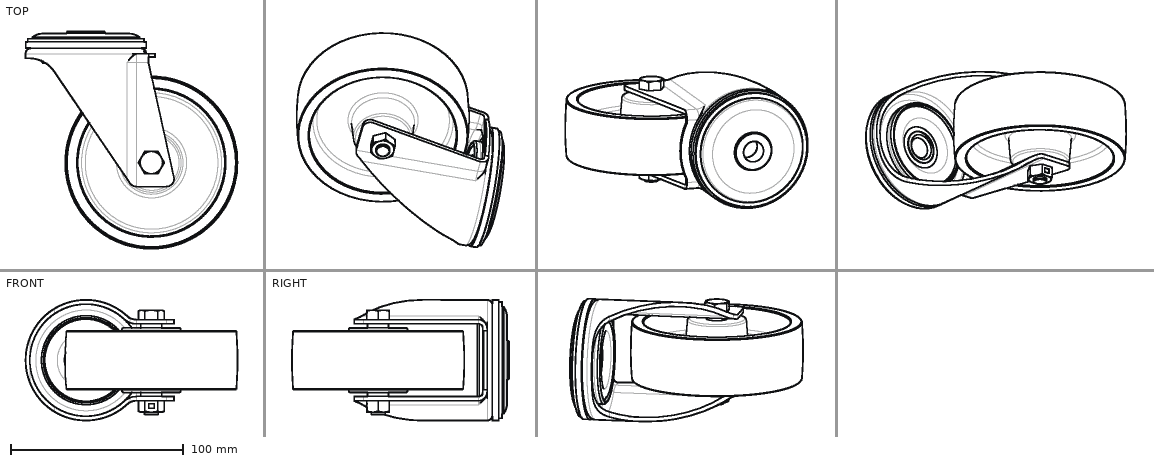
import cadquery as cq
import math


wheel_radius = 50.0
axle_offset = 37.9
overall_height = 126.0
top_height = overall_height - wheel_radius

fork_radius = 35.0
sheet = 2.5
ear_inner = 21.0
ear_outer = ear_inner + sheet
neck_radius = 8.1
ear_bend = 5.0
ear_bottom = -13.9
ear_bottom_front = 26.8
ear_bottom_back = 52.2
ear_top_back = 36.3
skirt_bottom = 60.3
skirt_corner = -23.5
skirt_corner_radius = 17.1
ear_corner_radius = 4.4
crown_plate_top = 63.1
crown_top = 66.3
crown_bend = crown_top - crown_plate_top
tail_radius = 40.1
tail_thickness = 2.0

race_wall_outer = 25.8
race_wall_inner = 24.2
race_wall_bottom = 57.5
race_wall_chamfer = 1.1
ledge_height = 62.2
channel_join_radius = 29.2
channel_slope = 55.0
race_gap = 0.4
race_arc = 5.0
race_arc_radius = 20.0
race_cone_radius = 16.8
race_face_radius = 12.5
race_face_height = 62.6
ring_top = 69.9
seal_radius = 33.8
seal_top = 71.8
cap_step_radius = 31.1
cap_step_top = 72.7
cap_top_radius = 27.7
cap_top = 74.8
cap_fillet = 10.1
sleeve_radius = 9.6
sleeve_bore = 6.0
sleeve_bottom = 62.1
sleeve_chamfer = 1.5
flange_radius = 11.3
flange_top_radius = 10.7
flange_edge = 75.1

tread_half_width = 17.0
tread_crown = 0.6
tread_chamfer = 0.5
rim_edge_radius = 43.2
rim_edge_chamfer = 0.6
rim_root_radius = 40.3
web_half_thickness = 2.5
web_fillet = 2.1
hub_half_width = 18.8
hub_top_radius = 17.0
hub_root_radius = 18.4
hub_edge_fillet = 1.1
spacer_radius = 6.2

bolt_radius = 4.0
bolt_end = -31.6
bolt_end_chamfer = 0.4
hex_flats = 13.0
head_height = 5.4
nut_height = 6.5
hex_chamfer_angle = 30.0
nut_mark_width = 3.3
nut_mark_height = 2.5
nut_mark_depth = 0.4
nut_mark_middle = -26.6


def turned(points):
    """Solid of revolution about the swivel axis from (radius, height) corner points."""
    return cq.Workplane("XY").polyline(points).close().revolve(360, (0, 0), (0, 1))


def ring(outer, inner, bottom, top):
    """Plain ring about the swivel axis."""
    return turned([(inner, bottom), (outer, bottom), (outer, top), (inner, top)])


def fork_outline(inset, back, bottom, top):
    """Block with the fork's plan outline, moved inward by inset and closed at X = back."""
    radius = fork_radius - inset
    side = ear_outer - inset
    neck = neck_radius + inset
    neck_z = side + neck
    neck_x = math.sqrt((radius + neck) ** 2 - neck_z ** 2)
    reach = radius / (radius + neck)
    join_x, join_z = neck_x * reach, neck_z * reach
    lean = math.atan2(neck_z, neck_x)
    join_angle = math.pi + lean
    ear_angle = math.radians(270)
    middle = (join_angle + ear_angle) / 2
    mid_x = neck_x + neck * math.cos(middle)
    mid_z = neck_z + neck * math.sin(middle)
    return (
        cq.Workplane("XZ", origin=(0, top, 0))
        .moveTo(back, side)
        .lineTo(neck_x, side)
        .threePointArc((mid_x, mid_z), (join_x, join_z))
        .threePointArc((-radius, 0), (join_x, -join_z))
        .threePointArc((mid_x, -mid_z), (neck_x, -side))
        .lineTo(back, -side)
        .close()
        .extrude(top - bottom)
    )


def side_profile():
    """Fork outline seen along Z, extruded across the whole fork."""
    z_span = 2 * fork_radius
    profile = (
        cq.Workplane("XY", origin=(0, 0, -z_span / 2))
        .polyline([
            (-fork_radius, crown_top),
            (-fork_radius, skirt_bottom),
            (skirt_corner, skirt_bottom),
            (ear_bottom_front, ear_bottom),
            (ear_bottom_back, ear_bottom),
            (ear_top_back, crown_plate_top - ear_bend),
            (ear_top_back, crown_top),
        ])
        .close()
        .extrude(z_span)
    )

    def corner(x, y):
        return cq.selectors.BoxSelector((x - sheet, y - sheet, -z_span), (x + sheet, y + sheet, z_span))

    profile = profile.edges(corner(skirt_corner, skirt_bottom)).fillet(skirt_corner_radius)
    for x in (ear_bottom_front, ear_bottom_back):
        profile = profile.edges(corner(x, ear_bottom)).fillet(ear_corner_radius)
    return profile


def crown_channel():
    """Space between the skirt and the race wall: a round groove that runs into a rounded ledge."""
    skirt_inner = fork_radius - sheet
    sine = math.sin(math.radians(channel_slope))
    cosine = math.cos(math.radians(channel_slope))
    half_sine = math.sin(math.radians(channel_slope / 2))
    half_cosine = math.cos(math.radians(channel_slope / 2))
    ledge_arc = (channel_join_radius - race_wall_outer) / sine
    groove_arc = (skirt_inner - channel_join_radius) / (1 + sine)
    join_height = ledge_height + ledge_arc * (1 - cosine)
    groove_height = join_height - groove_arc * cosine
    ledge_middle = (
        race_wall_outer + ledge_arc * half_sine,
        ledge_height + ledge_arc * (1 - half_cosine),
    )
    return (
        cq.Workplane("XY")
        .moveTo(race_wall_outer, ear_bottom)
        .lineTo(skirt_inner, ear_bottom)
        .lineTo(skirt_inner, groove_height)
        .threePointArc(
            (skirt_inner - groove_arc, groove_height + groove_arc),
            (channel_join_radius, join_height),
        )
        .threePointArc(ledge_middle, (race_wall_outer, ledge_height))
        .close()
        .revolve(360, (0, 0), (0, 1))
    )


def crown_tail():
    """Rounded end of the crown plate, sticking out between the ears."""
    disc = ring(tail_radius, fork_radius - sheet, crown_plate_top - tail_thickness, crown_plate_top)
    flat_span = 2 * (ear_outer - ear_bend)
    strip = cq.Workplane("XY").box(tail_radius, overall_height, flat_span)
    return disc.intersect(strip.translate((tail_radius / 2, crown_plate_top, 0)))


def race_wall():
    """Wall around the inner race, joined to the crown at its upper end."""
    return turned([
        (race_wall_inner, race_wall_bottom),
        (race_wall_outer - race_wall_chamfer, race_wall_bottom),
        (race_wall_outer, race_wall_bottom + race_wall_chamfer),
        (race_wall_outer, crown_plate_top),
        (race_wall_inner, crown_plate_top),
    ])


def make_fork():
    shell = fork_outline(0, ear_bottom_back, ear_bottom, crown_plate_top)
    shell = shell.faces(">Y").edges("not >X").fillet(ear_bend)
    crown = ring(fork_radius, 0, ear_bottom, crown_top).faces(">Y").edges().fillet(crown_bend)
    cavity = fork_outline(sheet, ear_bottom_back, ear_bottom, crown_plate_top - sheet)
    cavity = cavity.faces(">Y").edges("not >X").fillet(ear_bend - sheet)
    head_hole = ring(race_wall_inner, 0, ear_bottom, crown_top)
    axle_hole = at_axle(bolt_shank(-ear_outer, ear_outer))
    fork = shell.union(crown).cut(cavity).intersect(side_profile()).union(crown_tail())
    return fork.cut(crown_channel()).union(race_wall()).cut(head_hole).cut(axle_hole)


def make_inner_race():
    """Race plate with a round bulge facing down, inside the fork's race wall."""
    outer = race_wall_inner - race_gap
    centre = race_wall_bottom + race_arc

    def bulge(radius):
        return centre - math.sqrt(race_arc ** 2 - (radius - race_arc_radius) ** 2)

    return (
        cq.Workplane("XY")
        .moveTo(sleeve_radius, crown_top)
        .lineTo(outer, crown_top)
        .lineTo(outer, bulge(outer))
        .threePointArc((race_arc_radius, race_wall_bottom), (race_cone_radius, bulge(race_cone_radius)))
        .lineTo(race_face_radius, race_face_height)
        .lineTo(sleeve_radius, race_face_height)
        .close()
        .revolve(360, (0, 0), (0, 1))
    )


def make_housing_ring():
    return ring(fork_radius, sleeve_radius, crown_top, ring_top)


def make_seal_ring():
    return ring(seal_radius, sleeve_radius, ring_top, seal_top)


def make_cap():
    cap = turned([
        (sleeve_radius, seal_top),
        (cap_step_radius, seal_top),
        (cap_step_radius, cap_step_top),
        (cap_top_radius, cap_top),
        (sleeve_radius, cap_top),
    ])
    return cap.faces(">Y").edges(cq.selectors.RadiusNthSelector(-1)).fillet(cap_fillet)


def make_sleeve():
    """Hollow king pin with a flange resting on the cap."""
    return turned([
        (sleeve_bore + sleeve_chamfer, sleeve_bottom),
        (sleeve_radius, sleeve_bottom),
        (sleeve_radius, cap_top),
        (flange_radius, cap_top),
        (flange_radius, flange_edge),
        (flange_top_radius, top_height),
        (sleeve_bore, top_height),
        (sleeve_bore, sleeve_bottom + sleeve_chamfer),
    ])


def at_axle(body):
    """Move a body built around the Z axis onto the wheel axis."""
    return body.translate((axle_offset, 0, 0))


def rim_recess():
    """Ring-shaped recess between rim and hub on the +Z side."""
    edge_bottom = tread_half_width - rim_edge_chamfer
    recess = (
        cq.Workplane("XZ")
        .polyline([
            (hub_root_radius, web_half_thickness),
            (rim_root_radius, web_half_thickness),
            (rim_edge_radius - rim_edge_chamfer, edge_bottom),
            (rim_edge_radius, tread_half_width),
            (rim_edge_radius, hub_half_width),
            (hub_top_radius, hub_half_width),
        ])
        .close()
        .revolve(360, (0, 0), (0, 1))
    )
    return recess.faces("<Z").edges().fillet(web_fillet)


def make_wheel():
    side_radius = wheel_radius - tread_crown
    shoulder = tread_half_width - tread_chamfer
    tread = (
        cq.Workplane("XZ")
        .moveTo(0, -tread_half_width)
        .lineTo(side_radius - tread_chamfer, -tread_half_width)
        .lineTo(side_radius, -shoulder)
        .threePointArc((wheel_radius, 0), (side_radius, shoulder))
        .lineTo(side_radius - tread_chamfer, tread_half_width)
        .lineTo(0, tread_half_width)
        .close()
        .revolve(360, (0, 0), (0, 1))
    )
    hub = cq.Workplane("XY").circle(hub_root_radius).extrude(hub_half_width, both=True)
    recess = rim_recess()
    wheel = tread.union(hub).cut(recess).cut(recess.mirror("XY"))
    wheel = wheel.faces("<Z or >Z").edges().fillet(hub_edge_fillet)
    bore = cq.Workplane("XY").circle(spacer_radius).extrude(hub_half_width, both=True)
    return at_axle(wheel.cut(bore))


def make_spacer():
    tube = cq.Workplane("XY").circle(spacer_radius).circle(bolt_radius)
    return at_axle(tube.extrude(ear_inner, both=True))


def hexagon(height):
    """Hexagon on Z = 0 with the corners of its far end turned down to a cone."""
    corner_radius = hex_flats / math.sqrt(3)
    drop = (corner_radius - hex_flats / 2) * math.tan(math.radians(hex_chamfer_angle))
    prism = cq.Workplane("XY").polygon(6, 2 * corner_radius).extrude(height)
    turning = (
        cq.Workplane("XZ")
        .polyline([
            (0, 0),
            (corner_radius, 0),
            (corner_radius, height - drop),
            (hex_flats / 2, height),
            (0, height),
        ])
        .close()
        .revolve(360, (0, 0), (0, 1))
    )
    return prism.intersect(turning)


def bolt_shank(bottom, top):
    return cq.Workplane("XY", origin=(0, 0, bottom)).circle(bolt_radius).extrude(top - bottom)


def make_bolt():
    head = hexagon(head_height).translate((0, 0, ear_outer))
    shank = bolt_shank(bolt_end, ear_outer).faces("<Z").chamfer(bolt_end_chamfer)
    return at_axle(head.union(shank))


def make_nut():
    nut = hexagon(nut_height).mirror("XY").translate((0, 0, -ear_outer))
    mark = cq.Workplane("XY").box(nut_mark_width, 2 * nut_mark_depth, nut_mark_height)
    nut = nut.cut(mark.translate((0, -hex_flats / 2, nut_mark_middle)))
    return at_axle(nut.cut(bolt_shank(bolt_end, 0)))


fork = make_fork()
inner_race = make_inner_race()
housing_ring = make_housing_ring()
seal_ring = make_seal_ring()
cap = make_cap()
sleeve = make_sleeve()
wheel = make_wheel()
spacer = make_spacer()
bolt = make_bolt()
nut = make_nut()

bodies = [fork, inner_race, housing_ring, seal_ring, cap, sleeve, wheel, spacer, bolt, nut]
result = cq.Compound.makeCompound([body.val() for body in bodies])